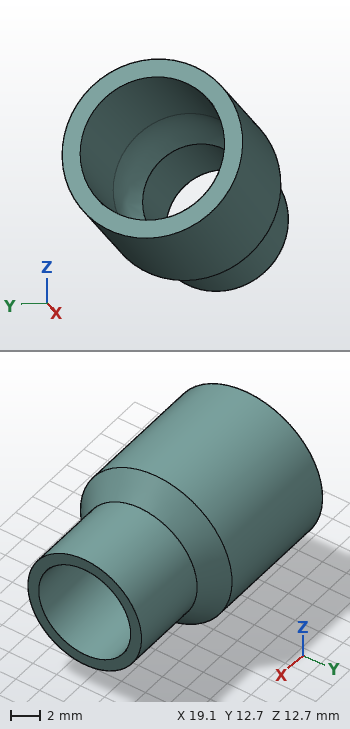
import cadquery as cq
import math

length = 19.05
large_outer_diameter = 12.7
small_outer_diameter = 9.52
large_bore_diameter = 10.15
small_bore_diameter = 7.7
taper_start = 10.65
taper_end = 12.52

large_bore_radius = large_bore_diameter / 2
small_bore_radius = small_bore_diameter / 2
sphere_center = taper_end - math.sqrt(large_bore_radius**2 - small_bore_radius**2)


def rod(diameter, rod_length):
    """Solid cylinder along X, starting at the large end of the sleeve."""
    return cq.Workplane("YZ").circle(diameter / 2).extrude(rod_length)


def outer_body():
    """Large cylinder, conical taper and small cylinder as one revolved solid."""
    large_radius = large_outer_diameter / 2
    small_radius = small_outer_diameter / 2
    return (
        cq.Workplane("XZ")
        .moveTo(0, 0)
        .lineTo(0, large_radius)
        .lineTo(taper_start, large_radius)
        .lineTo(taper_end, small_radius)
        .lineTo(length, small_radius)
        .lineTo(length, 0)
        .close()
        .revolve(360, (0, 0, 0), (1, 0, 0))
    )


large_bore = rod(large_bore_diameter, sphere_center)
bore_end = cq.Workplane("XY").sphere(large_bore_radius).translate((sphere_center, 0, 0))
small_bore = rod(small_bore_diameter, length)

result = outer_body().cut(large_bore).cut(bore_end).cut(small_bore)